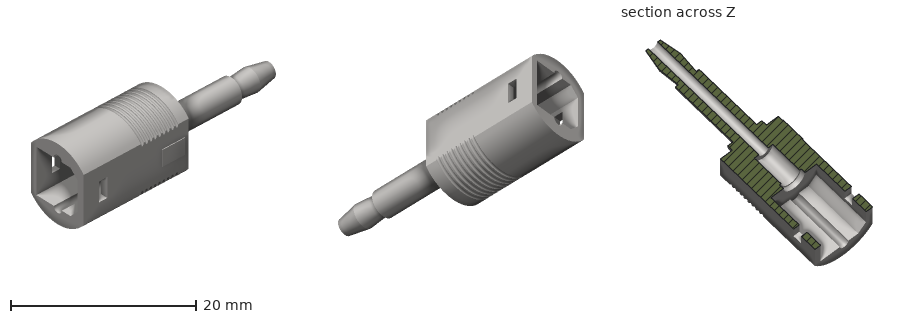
import cadquery as cq


BODY_RADIUS = 5.3
BODY_WIDTH = 8.3
BODY_LENGTH = 15.5

COLLAR_RADIUS = 2.47
COLLAR_LENGTH = 0.75
COLLAR_END = BODY_LENGTH + COLLAR_LENGTH
SHAFT_RADIUS = 1.72
SHAFT_END = 25.65
NECK_RADIUS = 1.3
BULGE_RADIUS = 1.55
BULGE_Y = 28.5
TIP_RADIUS = 1.05
TIP_Y = 31.25

GROOVE_COUNT = 9
GROOVE_RADIUS = 0.22
GROOVE_SPAN = 5.1
GROOVE_PITCH = GROOVE_SPAN / (GROOVE_COUNT - 1)
LAST_GROOVE_SETBACK = 1.75
LAST_GROOVE_Y = BODY_LENGTH - LAST_GROOVE_SETBACK

SOCKET_LEFT = -3.3
SOCKET_RIGHT = 3.2
SOCKET_HEIGHT = 6.37
SOCKET_BEVEL = 1.12
SOCKET_DEPTH = 8.12
KEYWAY_RADIUS = 0.62
KEYWAY_X = 0.05

FERRULE_ENTRY_RADIUS = 1.53
FERRULE_ENTRY_DEPTH = 0.62
FERRULE_RADIUS = 1.3
FERRULE_DEPTH = 5.0
BORE_RADIUS = 0.65

WINDOW_LENGTH = 1.22
WINDOW_HEIGHT = 2.78
WINDOW_CENTER_Y = 2.87

PAD_LENGTH = 3.3
PAD_HEIGHT = 2.25
PAD_THICKNESS = 0.1
PAD_CENTER_Y = 13.18


def section_at(y):
    """Workplane across the part at Y = y, with local X, Y along global X, Z and extrusion along -Y."""
    return cq.Workplane("XZ", origin=(0, y, 0))


def cylinder(radius, start_y, end_y):
    return section_at(end_y).circle(radius).extrude(end_y - start_y)


def make_body():
    bar = cylinder(BODY_RADIUS, 0, BODY_LENGTH)
    flats = cq.Workplane("XY").box(BODY_WIDTH, 2 * BODY_LENGTH, 2 * BODY_RADIUS)
    return bar.intersect(flats)


def make_grooves():
    grooves = cq.Workplane("XY")
    for index in range(GROOVE_COUNT):
        ring = cq.Solid.makeTorus(
            BODY_RADIUS,
            GROOVE_RADIUS,
            cq.Vector(0, LAST_GROOVE_Y - index * GROOVE_PITCH, 0),
            cq.Vector(0, 1, 0),
        )
        grooves = grooves.add(ring)
    return grooves.combine()


def make_pin():
    profile = [
        (0, BODY_LENGTH),
        (COLLAR_RADIUS, BODY_LENGTH),
        (COLLAR_RADIUS, COLLAR_END),
        (SHAFT_RADIUS, COLLAR_END),
        (SHAFT_RADIUS, SHAFT_END),
        (NECK_RADIUS, SHAFT_END),
        (BULGE_RADIUS, BULGE_Y),
        (TIP_RADIUS, TIP_Y),
        (0, TIP_Y),
    ]
    return cq.Workplane("XY").polyline(profile).close().revolve(360, (0, 0, 0), (0, 1, 0))


def make_socket():
    half_height = SOCKET_HEIGHT / 2
    outline = [
        (SOCKET_LEFT, -half_height),
        (SOCKET_RIGHT - SOCKET_BEVEL, -half_height),
        (SOCKET_RIGHT, -half_height + SOCKET_BEVEL),
        (SOCKET_RIGHT, half_height - SOCKET_BEVEL),
        (SOCKET_RIGHT - SOCKET_BEVEL, half_height),
        (SOCKET_LEFT, half_height),
    ]
    socket = section_at(SOCKET_DEPTH).polyline(outline).close().extrude(SOCKET_DEPTH)
    keyways = (
        section_at(SOCKET_DEPTH)
        .pushPoints([(KEYWAY_X, -half_height), (KEYWAY_X, half_height)])
        .circle(KEYWAY_RADIUS)
        .extrude(SOCKET_DEPTH)
    )
    return socket.union(keyways)


def make_bore():
    entry = cylinder(FERRULE_ENTRY_RADIUS, SOCKET_DEPTH, SOCKET_DEPTH + FERRULE_ENTRY_DEPTH)
    ferrule_hole = cylinder(FERRULE_RADIUS, SOCKET_DEPTH, SOCKET_DEPTH + FERRULE_DEPTH)
    through_hole = cylinder(BORE_RADIUS, SOCKET_DEPTH, TIP_Y)
    return entry.union(ferrule_hole).union(through_hole)


def make_window():
    window = cq.Workplane("XY").box(2 * BODY_WIDTH, WINDOW_LENGTH, WINDOW_HEIGHT)
    return window.translate((0, WINDOW_CENTER_Y, 0))


def make_pad():
    pad = cq.Workplane("XY").box(2 * PAD_THICKNESS, PAD_LENGTH, PAD_HEIGHT)
    return pad.translate((BODY_WIDTH / 2, PAD_CENTER_Y, 0))


result = (
    make_body()
    .cut(make_grooves())
    .union(make_pin())
    .cut(make_socket())
    .cut(make_bore())
    .cut(make_window())
    .union(make_pad())
)